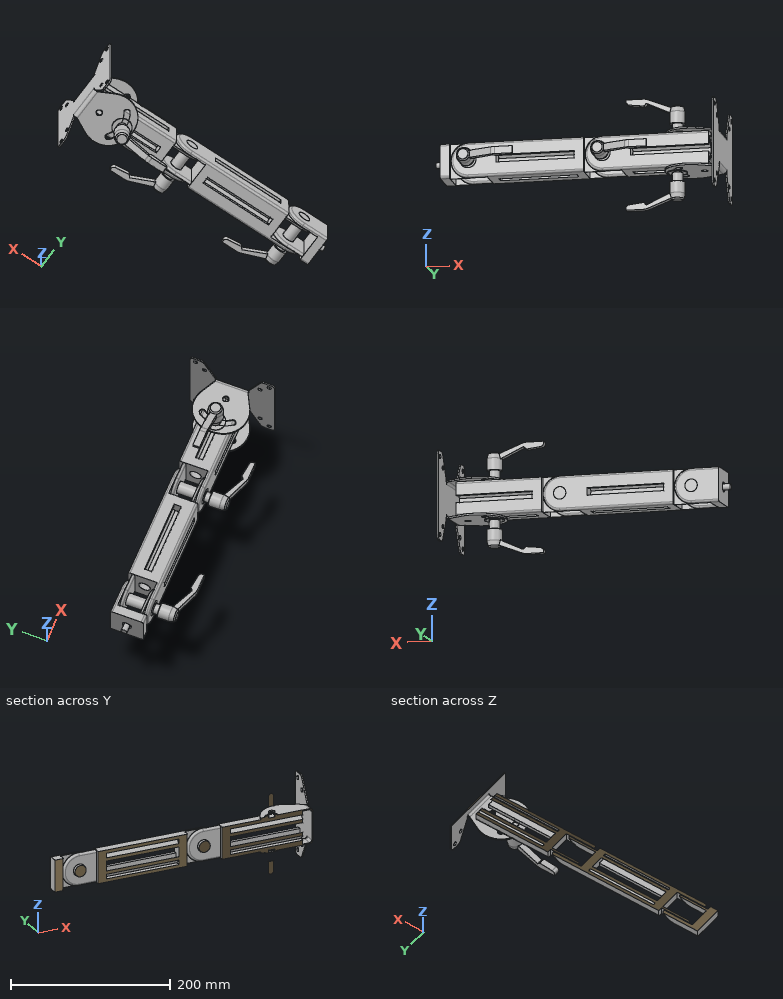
import cadquery as cq
import math

section = 45.0
half = section / 2
edge_round = 3.0
cap_thickness = 12.0
bracket_reach = 36.0
profile_length = 100.2
slot_width = 9.5
lip_thickness = 5.0
web_offset = 2.5
core_radius = 7.0

outer_ear = 5.5
inner_ear = 3.5
ear_gap = 0.5
pin_diameter = 16.2
bolt_hole = 15.5
stud_diameter = 8.0
stud_length = 9.2
stud_recess_diameter = 12.0
stud_recess_depth = 3.5

neck_diameter = 13.5
hinge_neck = 8.0
mount_neck = 15.0
hub_radius = 10.0
hub_straight = 15.0
hub_height = 23.2
hub_top_radius = 8.5
hub_chamfer = 2.0
grip_width = 9.2
grip_tip_reach = 65.5
grip_height = 34.0
grip_root_low = 10.0
grip_root_high = 18.5
grip_crook = (39.0, 28.0)
grip_heel = (42.5, 24.5)
grip_tip_low = (61.5, 27.0)
grip_tip_bulge = (64.5, 28.5)
grip_tip_end = 31.0
elbow_reach = 40.0
elbow_round = 14.7
collar_base = 10.3
collar_top = 7.7
collar_height = 1.0

total_length = 368.5
sheet = 2.2
bend_radius = 5.0
wall_size = 115.0
wall_corner = 5.0
wing_corner = 7.5
wing_slope = math.radians(27.6)
flap_radius = 50.0
flap_corner = 33.0
pivot_to_wall = 23.5
pivot_hole = 7.7
guide_radius = 35.0
guide_width = 7.7
guide_angle = math.radians(36)
washer_diameter = 25.5
washer_thickness = 1.0
mount_hole = 5.0
mount_pitches = (75.0, 100.0)

front_hinge = stud_length + bracket_reach
arm_start = front_hinge + bracket_reach
rear_hinge = arm_start + profile_length + bracket_reach
rear_start = rear_hinge + bracket_reach
pivot_x = total_length - pivot_to_wall
clamp_x = pivot_x - guide_radius


def block(x_start, length):
    """Square bar along X with rounded long edges."""
    bar = cq.Workplane("YZ", origin=(x_start, 0, 0)).rect(section, section).extrude(length)
    return bar.edges("|X").fillet(edge_round)


def rod(plane, origin, diameter, length):
    """Round bar from the origin along the plane's normal."""
    return cq.Workplane(plane, origin=origin).circle(diameter / 2).extrude(length)


def slot_section(x_start):
    """One undercut slot, open at +Z: narrow mouth, then a cavity tapering at 45 degrees."""
    mouth = slot_width / 2
    lip_z = half - lip_thickness
    return (
        cq.Workplane("YZ", origin=(x_start, 0, 0))
        .moveTo(0, web_offset)
        .lineTo(lip_z - web_offset, lip_z)
        .lineTo(mouth, lip_z)
        .lineTo(mouth, half)
        .lineTo(-mouth, half)
        .lineTo(-mouth, lip_z)
        .lineTo(web_offset - lip_z, lip_z)
        .close()
        .extrude(profile_length)
    )


def profile(x_start):
    """Slotted bar: a round core with diagonal webs to the corners."""
    bar = block(x_start, profile_length)
    slot = slot_section(x_start).cut(rod("YZ", (x_start, 0, 0), 2 * core_radius, profile_length))
    for angle in (0, 90, 180, 270):
        bar = bar.cut(slot.rotate((0, 0, 0), (1, 0, 0), angle))
    return bar


def ear(y_back, thickness):
    """Round-ended plate about the hinge axis, with its -Y rim rounded."""
    root = bracket_reach - cap_thickness
    plate = (
        cq.Workplane("XZ", origin=(0, y_back, 0))
        .moveTo(root, -half)
        .lineTo(0, -half)
        .threePointArc((-half, 0), (0, half))
        .lineTo(root, half)
        .close()
        .extrude(thickness)
    )
    return plate.faces("<Y").edges("not(>X)").fillet(edge_round)


def bracket(facing_front):
    """Hinge bracket about the origin; facing front, its cap is on +X and its outer ear on -Y."""
    inner_ear_back = half - outer_ear - ear_gap
    body = block(bracket_reach - cap_thickness, cap_thickness)
    body = body.union(ear(outer_ear - half, outer_ear))
    body = body.union(ear(inner_ear_back, inner_ear))
    if not facing_front:
        body = body.rotate((0, 0, 0), (0, 0, 1), 180)
    return body


def pin_bracket(x_hinge):
    """Bracket that carries the hinge pin and its clamping lever."""
    cap_hole = rod("YZ", (bracket_reach - cap_thickness, 0, 0), bolt_hole, cap_thickness)
    pin = rod("XZ", (0, half, 0), pin_diameter, section - outer_ear)
    clamp = clamp_lever(hinge_neck).union(collar()).rotate((0, 0, 0), (1, 0, 0), 90)
    body = bracket(True).cut(cap_hole).union(pin).union(clamp.translate((0, -half, 0)))
    return body.translate((x_hinge, 0, 0))


def bored_bracket(x_hinge):
    """Bracket whose ears are bored for the pin of its neighbour."""
    body = bracket(False).cut(rod("XZ", (0, half, 0), pin_diameter, section))
    return body.translate((x_hinge, 0, 0))


def clamp_lever(neck_length):
    """Neck, hub and cranked grip, standing on the origin along +Z with the grip toward +X."""
    neck = rod("XY", (0, 0, 0), neck_diameter, neck_length)
    hub = (
        cq.Workplane("XZ")
        .moveTo(0, 0)
        .lineTo(hub_radius, 0)
        .lineTo(hub_radius, hub_straight)
        .lineTo(hub_top_radius, hub_height - hub_chamfer)
        .lineTo(hub_top_radius - hub_chamfer, hub_height)
        .lineTo(0, hub_height)
        .close()
        .revolve(360, (0, 0, 0), (0, 1, 0))
    )
    grip = (
        cq.Workplane("XZ")
        .moveTo(0, grip_root_low)
        .lineTo(*grip_crook)
        .lineTo(*grip_heel)
        .lineTo(*grip_tip_low)
        .threePointArc(grip_tip_bulge, (grip_tip_reach, grip_tip_end))
        .lineTo(grip_tip_reach, grip_height)
        .lineTo(elbow_reach, grip_height)
        .lineTo(0, grip_root_high)
        .close()
        .extrude(grip_width / 2, both=True)
    )
    elbow = cq.selectors.NearestToPointSelector((elbow_reach, 0, grip_height))
    grip = grip.edges("|Y").edges(elbow).fillet(elbow_round)
    return neck.union(hub.union(grip).translate((0, 0, neck_length)))


def collar():
    """Conical collar at the foot of a hinge lever, standing on the origin."""
    disc = cq.Workplane("XY").circle(collar_base).workplane(offset=collar_height)
    return disc.circle(collar_top).loft()


def flap():
    """Flap on the top of the arm: a disc end tapering toward the wall plate."""
    root_x = total_length - bend_radius
    taper = 2 * flap_radius
    wide = half + taper * math.tan(wing_slope)
    wedge = (
        cq.Workplane("XY", origin=(0, 0, half))
        .polyline([(root_x, -half), (root_x, half), (root_x - taper, wide), (root_x - taper, -wide)])
        .close()
        .extrude(sheet)
    )
    disc = cq.Workplane("XY", origin=(pivot_x, 0, half)).circle(flap_radius).extrude(sheet)
    plate = wedge.intersect(disc)
    plate = plate.edges("|Z").edges("<Y or >Y").fillet(flap_corner)
    return plate.cut(rod("XY", (pivot_x, 0, half), pivot_hole, sheet)).cut(guide_slot())


def guide_slot():
    """Round-ended arc slot about the pivot hole, as a body to cut from the flap."""
    def point(radius, angle):
        return (-radius * math.cos(angle), radius * math.sin(angle))

    outer = guide_radius + guide_width / 2
    inner = guide_radius - guide_width / 2
    slot = (
        cq.Workplane("XY", origin=(pivot_x, 0, half))
        .moveTo(*point(outer, -guide_angle))
        .threePointArc((-outer, 0), point(outer, guide_angle))
        .lineTo(*point(inner, guide_angle))
        .threePointArc((-inner, 0), point(inner, -guide_angle))
        .close()
        .extrude(sheet)
    )
    for side in (-1, 1):
        end_x, end_y = point(guide_radius, side * guide_angle)
        slot = slot.union(rod("XY", (pivot_x + end_x, end_y, half), guide_width, sheet))
    return slot


def bend():
    """Quarter bend between the top flap and the wall plate."""
    centre_x = total_length - bend_radius
    centre_z = half + sheet - bend_radius
    ring = (
        cq.Workplane("XZ", origin=(centre_x, half, centre_z))
        .circle(bend_radius)
        .circle(bend_radius - sheet)
        .extrude(section)
    )
    quarter = cq.Workplane("XY", origin=(centre_x, -half, centre_z)).box(
        bend_radius, section, bend_radius, centered=False
    )
    return ring.intersect(quarter)


def wall_plate():
    """Square plate, notched above and below the arm where the flaps are bent out of it."""
    edge = wall_size / 2
    notch_z = half + sheet - bend_radius
    wing_edge = half + (edge - half - sheet) * math.tan(wing_slope)
    plate = cq.Workplane("YZ", origin=(total_length - sheet, 0, 0)).rect(wall_size, wall_size).extrude(sheet)
    plate = plate.edges("|X").fillet(wall_corner)
    notches = (
        cq.Workplane("YZ", origin=(total_length - sheet, 0, 0))
        .polyline([
            (-half, notch_z), (half, notch_z), (half, half + sheet),
            (wing_edge, edge), (-wing_edge, edge), (-half, half + sheet),
        ])
        .close()
        .extrude(sheet)
    )
    notches = notches.union(notches.mirror("XY"))
    plate = plate.cut(notches)
    for y in (-wing_edge, wing_edge):
        for z in (-edge, edge):
            corner = cq.selectors.NearestToPointSelector((total_length - sheet / 2, y, z))
            plate = plate.edges("|X").edges(corner).fillet(wing_corner)
    for pitch in mount_pitches:
        holes = cq.Workplane("YZ", origin=(total_length - sheet, 0, 0)).rect(pitch, pitch, forConstruction=True)
        plate = plate.cut(holes.vertices().circle(mount_hole / 2).extrude(sheet))
    return plate


def mount_side():
    """Top half of the mount's arm joint: flap, bend, washer and clamping lever."""
    washer = rod("XY", (clamp_x, 0, half + sheet), washer_diameter, washer_thickness)
    clamp = clamp_lever(mount_neck - sheet).rotate((0, 0, 0), (0, 0, 1), 180)
    clamp = clamp.translate((clamp_x, 0, half + sheet))
    return flap().union(bend()).union(washer).union(clamp)


def build_head():
    """Front bracket with the mounting stud on its cap."""
    cap_face = (stud_length, 0, 0)
    recess = rod("YZ", cap_face, stud_recess_diameter, stud_recess_depth)
    stud = rod("YZ", (0, 0, 0), stud_diameter, stud_length + stud_recess_depth)
    return bored_bracket(front_hinge).cut(recess).union(stud)


def build_front_arm():
    """Profile with a lever bracket in front and a bored bracket behind."""
    return pin_bracket(front_hinge).union(profile(arm_start)).union(bored_bracket(rear_hinge))


def build_rear_arm():
    """Lever bracket, profile and wall mount."""
    side = mount_side()
    body = pin_bracket(rear_hinge).union(profile(rear_start)).union(wall_plate())
    return body.union(side).union(side.rotate((0, 0, 0), (1, 0, 0), 180))


head = build_head()
front_arm = build_front_arm()
rear_arm = build_rear_arm()
result = cq.Compound.makeCompound([head.val(), front_arm.val(), rear_arm.val()])